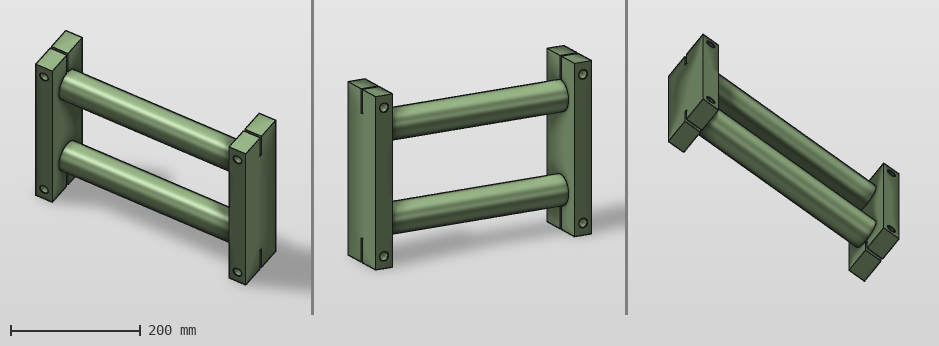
import cadquery as cq

length = 380.0
depth = 88.0
height = 280.0
plate_thickness = 30.0

bar_diameter = 50.0
bar_spacing = 152.0

slit_width = 4.0
slit_depth = 40.0
hole_diameter = 14.0
hole_chamfer = 0.8
hole_spacing = 240.0

plate_offset = (length - plate_thickness) / 2


def end_plate():
    """Plate centred on the origin, slit at both ends and drilled along Y."""
    plate = cq.Workplane("XY").box(plate_thickness, depth, height)
    for side in (-1, 1):
        slit = cq.Workplane("XY").box(plate_thickness, slit_width, slit_depth)
        plate = plate.cut(slit.translate((0, 0, side * (height - slit_depth) / 2)))
    holes = (
        cq.Workplane("XZ")
        .pushPoints([(0, -hole_spacing / 2), (0, hole_spacing / 2)])
        .circle(hole_diameter / 2)
        .extrude(depth / 2, both=True)
    )
    plate = plate.cut(holes)
    return plate.faces("<Y or >Y").edges("%CIRCLE").chamfer(hole_chamfer)


def bars():
    """Two round bars running through both plates, flush with the outer faces."""
    return (
        cq.Workplane("YZ")
        .pushPoints([(0, -bar_spacing / 2), (0, bar_spacing / 2)])
        .circle(bar_diameter / 2)
        .extrude(length / 2, both=True)
    )


result = bars()
for side in (-1, 1):
    result = result.union(end_plate().translate((side * plate_offset, 0, 0)))